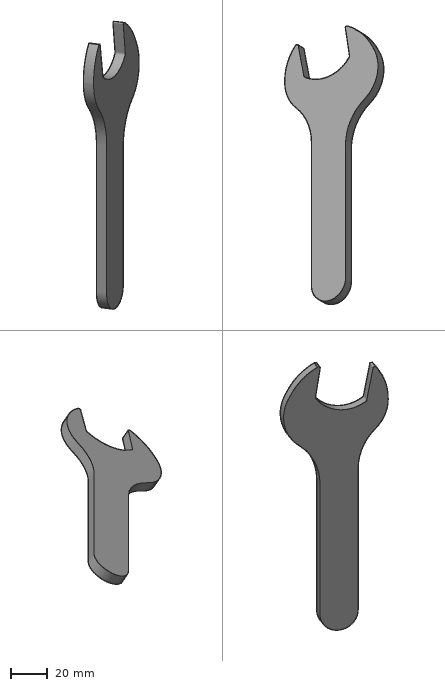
import cadquery as cq
import math

thickness = 6.2
total_length = 159.6
handle_radius = 11.0
neck_radius = 30.3
head_radius = 22.5
left_head_centre = (9.4, 120.8)
right_head_centre = (-5.7, 123.8)
right_arc_mid_angle = 200

left_tip_z = total_length - handle_radius
left_tip_outer = (12.5, left_tip_z)
left_tip_inner = (10.7, left_tip_z)
right_tip_z = 144.5
right_tip_inner = (-19.6, right_tip_z)
right_tip_outer = (-21.0, right_tip_z)
left_prong_bulge = (24.4, 139.0)
right_prong_bulge = (-26.3, 135.3)
left_flank_angle = 32.5

mouth_left = (13.5, 130.2)
mouth_bottom = (-3.7, 121.0)
mouth_right = (-15.8, 124.6)
tip_fillet = 0.6
mouth_fillet = 1.6


def circle_point(centre, radius, angle):
    """Point on a circle at an angle in degrees."""
    turn = math.radians(angle)
    return (centre[0] + radius * math.cos(turn), centre[1] + radius * math.sin(turn))


def neck_blend(head_centre, side):
    """Start, middle and end of the arc tangent to the handle edge and to the head rounding."""
    centre_y = side * (handle_radius + neck_radius)
    run = abs(centre_y - head_centre[0])
    drop = math.sqrt((head_radius + neck_radius) ** 2 - run**2)
    centre = (centre_y, head_centre[1] - drop)
    sweep = math.degrees(math.atan2(drop, run))
    base = 180 if side > 0 else 0
    return [circle_point(centre, neck_radius, base - side * part * sweep) for part in (0, 0.5, 1)]


left_neck = neck_blend(left_head_centre, 1)
right_neck = neck_blend(right_head_centre, -1)
left_head_top = circle_point(left_head_centre, head_radius, left_flank_angle)
left_head_side = circle_point(left_head_centre, head_radius, 0)
right_head_top = circle_point(right_head_centre, head_radius, 180)
right_head_side = circle_point(right_head_centre, head_radius, right_arc_mid_angle)

outline = (
    cq.Workplane("YZ")
    .moveTo(-handle_radius, 0)
    .threePointArc((0, -handle_radius), (handle_radius, 0))
    .lineTo(*left_neck[0])
    .threePointArc(left_neck[1], left_neck[2])
    .threePointArc(left_head_side, left_head_top)
    .threePointArc(left_prong_bulge, left_tip_outer)
    .lineTo(*left_tip_inner)
    .lineTo(*mouth_left)
    .threePointArc(mouth_bottom, mouth_right)
    .lineTo(*right_tip_inner)
    .lineTo(*right_tip_outer)
    .threePointArc(right_prong_bulge, right_head_top)
    .threePointArc(right_head_side, right_neck[2])
    .threePointArc(right_neck[1], right_neck[0])
    .close()
)
blank = outline.extrude(thickness / 2, both=True)


def corner_edge(point):
    """Selector for the edge through the thickness at an outline corner."""
    return cq.selectors.NearestToPointSelector((0, *point))


def round_corners(body, corners, radius):
    """Round the through-thickness edges at the given outline corners."""
    for corner in corners:
        body = body.edges("|X").edges(corner_edge(corner)).fillet(radius)
    return body


rounded_tips = round_corners(blank, [left_tip_inner, right_tip_inner], tip_fillet)
result = round_corners(rounded_tips, [mouth_left, mouth_right], mouth_fillet)